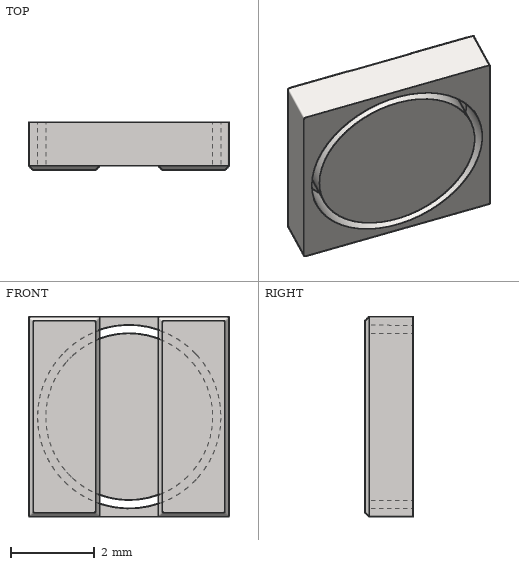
import cadquery as cq

side = 4.8
depth = 1.15
pad_height = 0.1
pad_slope = 45.0
channel_width = 1.4
corner_radius = 0.05
core_radius = 2.0
bore_radius = 2.2

body_depth = depth - pad_height
back_y = depth / 2
pad_base_y = back_y - body_depth
pad_width = (side - channel_width) / 2
pad_offset = (channel_width + pad_width) / 2

back_plane = cq.Workplane("XZ", origin=(0, back_y, 0))


def make_body():
    """Square block with rounded corners and a ring-shaped gap separating core from frame."""
    block = back_plane.rect(side, side).extrude(body_depth).edges("|Y").fillet(corner_radius)
    gap = back_plane.circle(bore_radius).circle(core_radius).extrude(body_depth)
    return block.cut(gap)


def make_pads():
    """Two pads that bridge frame and core, with sloping sides and rounded mitred corners."""
    return (
        cq.Workplane("XZ", origin=(0, pad_base_y, 0))
        .pushPoints([(-pad_offset, 0), (pad_offset, 0)])
        .rect(pad_width, side)
        .extrude(pad_height, taper=pad_slope)
        .edges("not #Y")
        .fillet(corner_radius)
    )


result = make_body().union(make_pads())